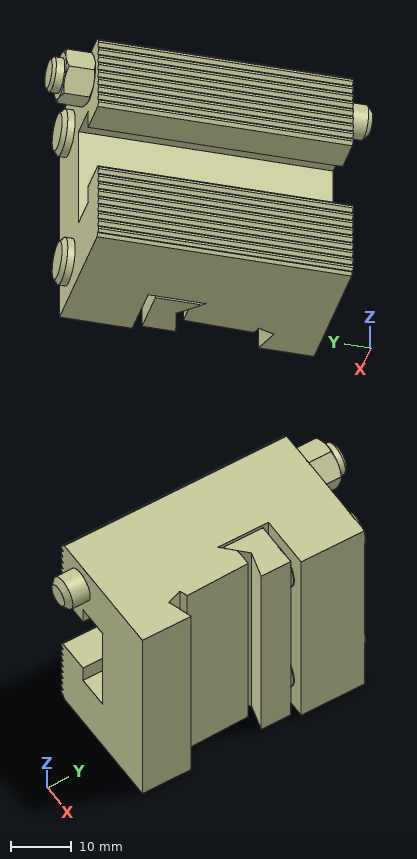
import cadquery as cq
import math


HOUSING_WIDTH = 25.0
HOUSING_LENGTH = 43.6
HOUSING_HEIGHT = 40.0

SLOT_OPENING = 12.0
SLOT_INNER_HEIGHT = 18.35
SLOT_LIP = 6.75
SLOT_DEPTH = 12.75

TOOTH_COUNT = 9
TOOTH_TIP = 0.4
FIRST_TIP_DROP = 1.0
LAND_HEIGHT = (HOUSING_HEIGHT - SLOT_OPENING) / 2
TOOTH_PITCH = (LAND_HEIGHT - FIRST_TIP_DROP - TOOTH_TIP / 2) / (TOOTH_COUNT - 0.5)
TOOTH_DEPTH = (TOOTH_PITCH - TOOTH_TIP) / 2

CORNER_CHAMFER = 0.5
CORNER_INSET = 0.55
CORNER_STEP_DEPTH = 0.45

POCKET_FLOOR_X = 14.95
POCKET_TOP_Y = 31.15
RAMP_START_Y = 21.25
RAMP_TOP_Y = 23.6
RAMP_TOP_X = POCKET_FLOOR_X + RAMP_TOP_Y - RAMP_START_Y
SEAT_TOP_X = 20.55
SEAT_BOTTOM_X = 20.95
SEAT_BOTTOM_Y = 11.4
HOOK_UPPER = (19.5, 10.9)
HOOK_ROOT = (20.5, 8.1)
HOOK_LIP_Y = 9.55

STUD_DIAMETER = 6.0
STUD_X = 6.0
STUD_TOP_DISTANCE = 5.0
STUD_Z = HOUSING_HEIGHT / 2 - STUD_TOP_DISTANCE
STUD_LENGTH = 55.0
STUD_FRONT_PROTRUSION = 4.4
STUD_TIP_CHAMFER = 1.0
STUD_TIP_DIAMETER = 3.95
STUD_REAR_CHAMFER = 0.55
NUT_SIDES = 6
NUT_ACROSS_FLATS = 8.0
NUT_THICKNESS = 5.0
NUT_TURN = 12.7
NUT_CHAMFER_ANGLE = 30.0

JAW_LEFT_X = 15.45
JAW_RIGHT_X = 24.05
JAW_TOP_Y = 29.75
JAW_APEX_X = 19.0
JAW_TIP_Y = 22.1
JAW_RIGHT_Y = 23.9
SCREW_DIAMETER = 8.0
SCREW_X = POCKET_FLOOR_X + SCREW_DIAMETER / 2
SCREW_OFFSET_Z = 13.0
SCREW_PROTRUSION = 2.05
SCREW_CHAMFER = 0.75
SCREW_SHANK_REACH = 0.15
SCREW_CONE_START_Y = POCKET_TOP_Y - SCREW_SHANK_REACH


def rod_along_y(diameter, x, z, y_start, y_end):
    """Cylinder parallel to Y."""
    base = cq.Plane(origin=(x, y_start, z), xDir=(1, 0, 0), normal=(0, 1, 0))
    return cq.Workplane(base).circle(diameter / 2).extrude(y_end - y_start)


def turned_along_y(profile, x, z):
    """Solid of revolution about a Y axis at (x, z), from (radius, y) points."""
    half = cq.Workplane("XY").polyline(profile).close()
    return half.revolve(360, (0, 0), (0, 1)).translate((x, 0, z))


def land_profile():
    """Toothed edge of the upper land, from the top face down to the slot."""
    top = HOUSING_HEIGHT / 2
    z = top - FIRST_TIP_DROP
    points = [
        (CORNER_INSET + CORNER_CHAMFER, top),
        (CORNER_INSET, top - CORNER_CHAMFER),
        (CORNER_STEP_DEPTH, z + CORNER_STEP_DEPTH),
    ]
    for _ in range(TOOTH_COUNT):
        points.append((0, z))
        points.append((0, z - TOOTH_TIP))
        points.append((TOOTH_DEPTH, z - TOOTH_TIP - TOOTH_DEPTH))
        z -= TOOTH_PITCH
    return points


def make_block():
    """Toothed, T-slotted extrusion, symmetric about Z = 0."""
    upper = [(HOUSING_WIDTH, HOUSING_HEIGHT / 2)]
    upper += land_profile()
    upper += [
        (SLOT_LIP, SLOT_OPENING / 2),
        (SLOT_LIP, SLOT_INNER_HEIGHT / 2),
        (SLOT_DEPTH, SLOT_INNER_HEIGHT / 2),
    ]
    lower = [(x, -z) for x, z in reversed(upper)]
    return cq.Workplane("XZ").polyline(upper + lower).close().extrude(-HOUSING_LENGTH)


def rail_cutout():
    """Jaw pocket, rail seat and hooked groove, cut through the full height."""
    outline = [
        (HOUSING_WIDTH, POCKET_TOP_Y),
        (POCKET_FLOOR_X, POCKET_TOP_Y),
        (POCKET_FLOOR_X, RAMP_START_Y),
        (RAMP_TOP_X, RAMP_TOP_Y),
        (SEAT_TOP_X, RAMP_TOP_Y),
        (SEAT_BOTTOM_X, SEAT_BOTTOM_Y),
        HOOK_UPPER,
        HOOK_ROOT,
        (HOUSING_WIDTH, HOOK_LIP_Y),
    ]
    return cq.Workplane("XY").polyline(outline).close().extrude(HOUSING_HEIGHT / 2, both=True)


def make_housing():
    """Block with the rail cutout and the holes for the stud and both screws."""
    housing = make_block().cut(rail_cutout())
    housing = housing.cut(rod_along_y(STUD_DIAMETER, STUD_X, STUD_Z, 0, HOUSING_LENGTH))
    for side in (-1, 1):
        screw_hole = rod_along_y(
            SCREW_DIAMETER, SCREW_X, side * SCREW_OFFSET_Z, POCKET_TOP_Y, HOUSING_LENGTH
        )
        housing = housing.cut(screw_hole)
    return housing


def make_nut():
    """Hexagon nut against the rear face, its corners bevelled at both ends."""
    base = cq.Plane(origin=(STUD_X, HOUSING_LENGTH, STUD_Z), xDir=(1, 0, 0), normal=(0, 1, 0))
    corner_diameter = NUT_ACROSS_FLATS / math.cos(math.pi / NUT_SIDES)
    hexagon = cq.Workplane(base.rotated((0, 0, -NUT_TURN))).polygon(NUT_SIDES, corner_diameter)
    face_radius = NUT_ACROSS_FLATS / 2
    corner_radius = corner_diameter / 2
    bevel = (corner_radius - face_radius) * math.tan(math.radians(NUT_CHAMFER_ANGLE))
    rear_y = HOUSING_LENGTH + NUT_THICKNESS
    envelope = turned_along_y(
        [
            (0, HOUSING_LENGTH),
            (face_radius, HOUSING_LENGTH),
            (corner_radius, HOUSING_LENGTH + bevel),
            (corner_radius, rear_y - bevel),
            (face_radius, rear_y),
            (0, rear_y),
        ],
        STUD_X,
        STUD_Z,
    )
    return hexagon.extrude(NUT_THICKNESS).intersect(envelope)


def make_stud():
    """Stud through the housing, in one piece with its nut."""
    radius = STUD_DIAMETER / 2
    front_y = -STUD_FRONT_PROTRUSION
    rear_y = front_y + STUD_LENGTH
    shank = turned_along_y(
        [
            (0, front_y),
            (STUD_TIP_DIAMETER / 2, front_y),
            (radius, front_y + STUD_TIP_CHAMFER),
            (radius, rear_y - STUD_REAR_CHAMFER),
            (radius - STUD_REAR_CHAMFER, rear_y),
            (0, rear_y),
        ],
        STUD_X,
        STUD_Z,
    )
    return shank.union(make_nut())


def make_screw(z):
    """Clamping screw whose 45-degree tapered end meets the back of the jaw."""
    radius = SCREW_DIAMETER / 2
    end_radius = radius - (SCREW_CONE_START_Y - JAW_TOP_Y)
    rear_y = HOUSING_LENGTH + SCREW_PROTRUSION
    profile = [
        (0, JAW_TOP_Y),
        (end_radius, JAW_TOP_Y),
        (radius, SCREW_CONE_START_Y),
        (radius, rear_y - SCREW_CHAMFER),
        (radius - SCREW_CHAMFER, rear_y),
        (0, rear_y),
    ]
    return turned_along_y(profile, SCREW_X, z)


def make_clamp():
    """Wedge jaw sliding on the housing ramp, in one piece with both screws."""
    ramp_offset = RAMP_START_Y - POCKET_FLOOR_X
    outline = [
        (JAW_LEFT_X, JAW_TOP_Y),
        (JAW_RIGHT_X, JAW_TOP_Y),
        (JAW_RIGHT_X, JAW_RIGHT_Y),
        (JAW_APEX_X, JAW_APEX_X + ramp_offset),
        (JAW_TIP_Y - ramp_offset, JAW_TIP_Y),
        (JAW_LEFT_X, JAW_TIP_Y),
    ]
    clamp = cq.Workplane("XY").polyline(outline).close().extrude(HOUSING_HEIGHT / 2, both=True)
    for side in (-1, 1):
        clamp = clamp.union(make_screw(side * SCREW_OFFSET_Z))
    return clamp


housing = make_housing()
stud = make_stud()
clamp = make_clamp()

result = cq.Compound.makeCompound([housing.val(), stud.val(), clamp.val()])